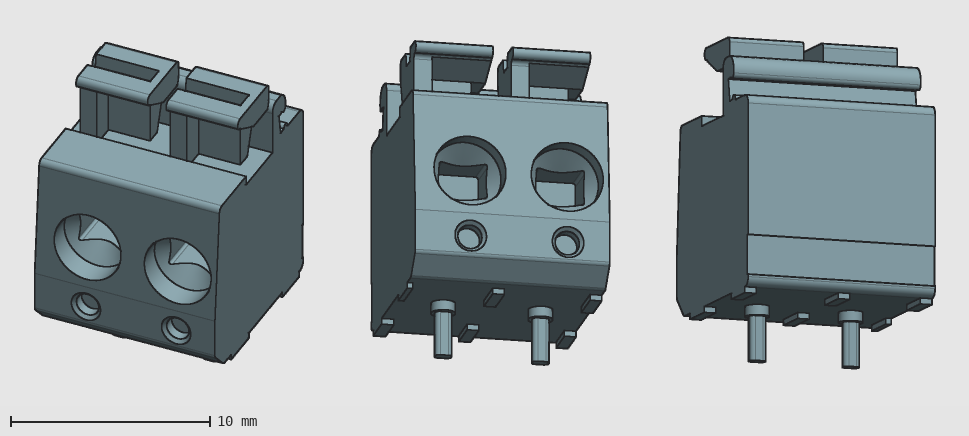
import cadquery as cq
import math


pitch = 5.0
pole_count = 2
width = pitch * pole_count
pole_centers = [(i - (pole_count - 1) / 2) * pitch for i in range(pole_count)]
overlap = 0.2

back_y = 5.55
front_y = -4.95
roof_z = 9.79
roof_front_y = -4.40
slope_foot_z = 3.27
front_roof_radius = 0.32
back_roof_radius = 0.48
nose_chamfer = 1.05
nose_radius = 0.27
back_foot_radius = 0.45
back_relief_depth = 0.11
back_relief_bottom_z = 0.57
back_relief_top_z = 2.60

slot_front_y = -1.26
slot_back_y = 1.88
slot_floor_z = 9.27

rail_top_z = 12.15
rail_front_radius = 0.48
rail_back_top_y = 2.90
rail_back_mid = (3.26, 11.88)
lip_back = (3.42, 11.20)
lip_bottom = (3.23, 10.96)
lip_front = (3.00, 11.05)
throat_top = (2.64, 11.00)
throat_bottom = (2.86, 9.85)
ledge_back = (3.22, 9.88)
bead_width = 0.45
bead_top_z = 10.06

entry_offset_x = 0.35
entry_z = 5.55
entry_radius = 1.85
entry_cone_y = -3.57
passage_width = 2.46
passage_height = 1.80
passage_corner_radius = 0.15
passage_end_y = -1.0
test_z = 2.06
test_mouth_radius = 0.81
test_bore_radius = 0.62
test_cone_depth = 0.2
test_depth = 0.8

foot_height = 0.30
back_feet_y = (3.06, 5.07)
front_feet_y = (-3.02, -0.90)
foot_width = 0.60
left_back_foot_width = 0.63
left_front_foot_width = 0.29

lever_offset_x = -1.75
lever_width = 3.97
lever_top_z = 13.29
lever_back_y = 2.05
lever_back_radius = 0.25
lever_back_slope_z = 12.28
lever_foot_back_y = 1.06
lever_front_y = -1.16
lever_nose_y = -1.65
lever_nose_radius = 0.30
lever_nose_bottom_z = 12.67
lever_neck_radius = 0.24
lever_wall_thickness = 0.93
lever_column_width = 3.24
lever_column_front_y = 0.22
lever_handle_bottom_z = 11.83
groove_length = 3.48
groove_center_y = 0.23
groove_top_width = 1.04
groove_floor_width = 0.85
groove_depth = 0.70

pin_width = 0.86
pin_thickness = 0.57
pin_corner_radius = 0.23
pin_bottom_z = -2.80
collar_diameter = 1.23
collar_height = 0.52


def box(x_range, y_range, z_range):
    """Box spanning the given ranges."""
    (x0, x1), (y0, y1), (z0, z1) = x_range, y_range, z_range
    return cq.Workplane("XY").box(x1 - x0, y1 - y0, z1 - z0, centered=False).translate((x0, y0, z0))


def side_sketch(left_x):
    """Workplane for a (Y, Z) outline that is extruded towards +X from left_x."""
    return cq.Workplane("YZ").workplane(offset=left_x)


def round_edge(body, y, z, radius):
    """Fillet the full-width edge that runs along X through (y, z)."""
    reach = 0.02
    selector = cq.selectors.BoxSelector(
        (-width, y - reach, z - reach), (width, y + reach, z + reach)
    )
    return body.edges(selector).fillet(radius)


def housing_block():
    """Extruded housing outline with its slot, nose chamfer and rounded corners."""
    relief_y = back_y - back_relief_depth
    block = (
        side_sketch(-width / 2)
        .moveTo(back_y, 0)
        .lineTo(front_y + nose_chamfer, 0)
        .lineTo(front_y, nose_chamfer)
        .lineTo(front_y, slope_foot_z)
        .lineTo(roof_front_y, roof_z)
        .lineTo(slot_front_y, roof_z)
        .lineTo(slot_front_y, slot_floor_z)
        .lineTo(slot_back_y, slot_floor_z)
        .lineTo(slot_back_y, roof_z)
        .lineTo(back_y, roof_z)
        .lineTo(back_y, back_relief_top_z)
        .lineTo(relief_y, back_relief_top_z)
        .lineTo(relief_y, back_relief_bottom_z)
        .lineTo(back_y, back_relief_bottom_z)
        .close()
        .extrude(width)
    )
    block = round_edge(block, back_y, 0, back_foot_radius)
    block = round_edge(block, back_y, roof_z, back_roof_radius)
    block = round_edge(block, roof_front_y, roof_z, front_roof_radius)
    block = round_edge(block, front_y, nose_chamfer, nose_radius)
    return round_edge(block, front_y + nose_chamfer, 0, nose_radius)


def marker_rail():
    """Hooked rail behind the slot, with a small bead at the mouth of its throat."""
    ledge_y = ledge_back[0]
    bead_back_y = ledge_y + bead_width
    bead_radius = bead_width / 2
    corner_shift = rail_front_radius * (1 - math.sqrt(0.5))
    return (
        side_sketch(-width / 2)
        .moveTo(slot_back_y, slot_floor_z)
        .lineTo(slot_back_y, rail_top_z - rail_front_radius)
        .threePointArc(
            (slot_back_y + corner_shift, rail_top_z - corner_shift),
            (slot_back_y + rail_front_radius, rail_top_z),
        )
        .lineTo(rail_back_top_y, rail_top_z)
        .threePointArc(rail_back_mid, lip_back)
        .threePointArc(lip_bottom, lip_front)
        .lineTo(*throat_top)
        .lineTo(*throat_bottom)
        .lineTo(*ledge_back)
        .threePointArc((ledge_y + bead_radius, bead_top_z), (bead_back_y, roof_z))
        .lineTo(bead_back_y, slot_floor_z)
        .close()
        .extrude(width)
    )


def front_axis(x, y, z):
    """Workplane at (x, y, z) whose extrusions run along +Y, into the housing front."""
    return cq.Workplane(cq.Plane(origin=(x, y, z), xDir=(1, 0, 0), normal=(0, 1, 0)))


def front_cone(x, y, z, mouth_radius, depth, end_radius):
    """Cone along +Y that starts at mouth_radius and ends at end_radius."""
    return cq.Workplane(
        cq.Solid.makeCone(mouth_radius, end_radius, depth, cq.Vector(x, y, z), cq.Vector(0, 1, 0))
    )


def wire_entry(x):
    """Round bore, then a 45 degree cone that runs into a rectangular passage."""
    bore_start_y = front_y - overlap
    bore = front_axis(x, bore_start_y, entry_z).circle(entry_radius).extrude(entry_cone_y - bore_start_y)
    cone_end_radius = passage_height / 4
    cone = front_cone(x, entry_cone_y, entry_z, entry_radius, entry_radius - cone_end_radius, cone_end_radius)
    passage = (
        front_axis(x, entry_cone_y, entry_z)
        .rect(passage_width, passage_height)
        .extrude(passage_end_y - entry_cone_y)
        .edges("|Y")
        .fillet(passage_corner_radius)
    )
    return bore.union(cone).union(passage)


def test_hole(x):
    """Blind hole with a tapered mouth."""
    mouth = front_cone(x, front_y, test_z, test_mouth_radius, test_cone_depth, test_bore_radius)
    bore = front_axis(x, front_y, test_z).circle(test_bore_radius).extrude(test_depth)
    return mouth.union(bore)


def feet():
    """Feet along the left side, the middle and the right side, in a back and a front row."""
    left = -width / 2
    foot_spans = [
        (left, left + left_back_foot_width, back_feet_y),
        (left, left + left_front_foot_width, front_feet_y),
    ]
    for right in (0, width / 2):
        for row in (back_feet_y, front_feet_y):
            foot_spans.append((right - foot_width, right, row))
    return [box((x0, x1), row, (-foot_height, overlap)) for x0, x1, row in foot_spans]


def make_housing():
    housing = housing_block().union(marker_rail())
    for foot in feet():
        housing = housing.union(foot)
    for pole_x in pole_centers:
        entry_x = pole_x + entry_offset_x
        housing = housing.cut(wire_entry(entry_x)).cut(test_hole(entry_x))
    return housing


def lever_blank(left_x):
    """Full-width lever outline: finger nose on top, sloped back, flat foot on the slot floor."""
    corner_shift = lever_back_radius * (1 - math.sqrt(0.5))
    nose_mid_z = lever_top_z - lever_nose_radius
    neck_top_y = lever_front_y - lever_neck_radius
    neck_shift = lever_neck_radius * (1 - math.sqrt(0.5))
    return (
        side_sketch(left_x)
        .moveTo(lever_foot_back_y, slot_floor_z)
        .lineTo(lever_back_y, lever_back_slope_z)
        .lineTo(lever_back_y, lever_top_z - lever_back_radius)
        .threePointArc(
            (lever_back_y - corner_shift, lever_top_z - corner_shift),
            (lever_back_y - lever_back_radius, lever_top_z),
        )
        .lineTo(lever_nose_y + lever_nose_radius, lever_top_z)
        .threePointArc((lever_nose_y, nose_mid_z), (lever_nose_y + lever_nose_radius, lever_nose_bottom_z))
        .lineTo(neck_top_y, lever_nose_bottom_z)
        .threePointArc(
            (lever_front_y - neck_shift, lever_nose_bottom_z - neck_shift),
            (lever_front_y, lever_nose_bottom_z - lever_neck_radius),
        )
        .lineTo(lever_front_y, slot_floor_z)
        .close()
        .extrude(lever_width)
    )


def lever_recess(left_x):
    """Space under the handle, in front of the column and beside the left wall."""
    wall_x = left_x + lever_wall_thickness
    return (
        side_sketch(wall_x)
        .moveTo(lever_nose_y, slot_floor_z)
        .lineTo(lever_column_front_y, slot_floor_z)
        .lineTo(lever_column_front_y, lever_handle_bottom_z)
        .lineTo(lever_front_y - lever_neck_radius, lever_nose_bottom_z)
        .lineTo(lever_nose_y, lever_nose_bottom_z)
        .close()
        .extrude(lever_width - lever_wall_thickness)
    )


def lever_groove(left_x):
    """Tapered groove in the lever top, open at the left face."""
    floor_z = lever_top_z - groove_depth
    return (
        side_sketch(left_x)
        .moveTo(groove_center_y - groove_top_width / 2, lever_top_z)
        .lineTo(groove_center_y + groove_top_width / 2, lever_top_z)
        .lineTo(groove_center_y + groove_floor_width / 2, floor_z)
        .lineTo(groove_center_y - groove_floor_width / 2, floor_z)
        .close()
        .extrude(groove_length)
    )


def make_lever(pole_x):
    left_x = pole_x + lever_offset_x
    beside_column = box(
        (left_x + lever_column_width, left_x + lever_width),
        (lever_nose_y, lever_back_y),
        (slot_floor_z, lever_handle_bottom_z),
    )
    return lever_blank(left_x).cut(lever_recess(left_x)).cut(beside_column).cut(lever_groove(left_x))


def make_pin(pole_x):
    """Solder pin with rounded corners, hanging from a round collar under the housing."""
    collar = cq.Workplane("XY").center(pole_x, 0).circle(collar_diameter / 2).extrude(-collar_height)
    shank = (
        cq.Workplane("XY")
        .center(pole_x, 0)
        .rect(pin_width, pin_thickness)
        .extrude(pin_bottom_z)
        .edges("|Z")
        .fillet(pin_corner_radius)
    )
    return collar.union(shank)


housing = make_housing()
levers = [make_lever(pole_x) for pole_x in pole_centers]
pins = [make_pin(pole_x) for pole_x in pole_centers]

result = cq.Compound.makeCompound([housing.val(), *[body.val() for body in levers + pins]])